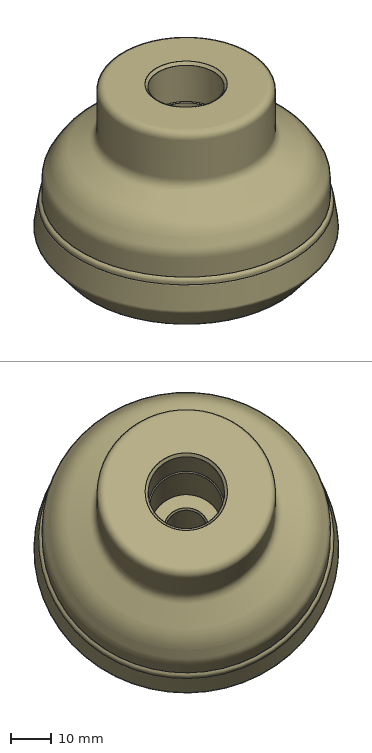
import cadquery as cq
import math

total_height = 50.8
max_radius = 38.0

neck_radius = 22.3
neck_top_round = 2.0
neck_foot_round = 3.05
shoulder_top_height = 35.2
upper_slope = 28.0
shoulder_bend_radius = 32.25
shoulder_bend_round = 10.3
lower_slope = 58.0
skirt_radius = 36.0
skirt_round = 4.3

bore_radius = 9.5
rim_chamfer = 0.75
ledge_height = 39.2
ledge_width = 0.4
ledge_drop = 0.15
bore_floor_height = 22.8
hole_radius = 5.2
hole_chamfer = 0.45

seat_height = 7.6
lip_height = 16.95
lip_slope = 36.0
collar_radius = 36.8
collar_round = 1.0
step_height = 15.2
step_width = 0.15
step_drop = 0.2
step_round = 0.3
flare_angle = 8.3
rim_height = 7.6
rim_round = 1.15
base_angle = 38.6
base_round = 1.0


def rounded_outline(corners):
    """Closed outline on the XZ plane from (radius, height, corner round) triples."""
    points = [cq.Vector(radius, height, 0) for radius, height, _ in corners]
    outline = None
    for index, (_, _, corner_round) in enumerate(corners):
        corner = points[index]
        to_last = (points[index - 1] - corner).normalized()
        to_next = (points[(index + 1) % len(points)] - corner).normalized()
        half_angle = to_last.getAngle(to_next) / 2
        setback = corner_round / math.tan(half_angle)
        start = corner + to_last * setback
        if outline is None:
            outline = cq.Workplane("XZ").moveTo(start.x, start.y)
        else:
            outline = outline.lineTo(start.x, start.y)
        if corner_round > 0:
            crown = corner_round / math.sin(half_angle) - corner_round
            middle = corner + (to_last + to_next).normalized() * crown
            end = corner + to_next * setback
            outline = outline.threePointArc((middle.x, middle.y), (end.x, end.y))
    return outline.close()


def turned(corners):
    """Solid of revolution about the Z axis."""
    return rounded_outline(corners).revolve(360, (0, 0), (0, 1))


def make_bell():
    bend_drop = (shoulder_bend_radius - neck_radius) * math.tan(math.radians(upper_slope))
    bend_height = shoulder_top_height - bend_drop
    skirt_drop = (skirt_radius - shoulder_bend_radius) * math.tan(math.radians(lower_slope))
    ledge_radius = bore_radius - ledge_width
    return turned([
        (neck_radius, total_height, neck_top_round),
        (neck_radius, shoulder_top_height, neck_foot_round),
        (shoulder_bend_radius, bend_height, shoulder_bend_round),
        (skirt_radius, bend_height - skirt_drop, skirt_round),
        (skirt_radius, seat_height, 0),
        (hole_radius, seat_height, 0),
        (hole_radius, bore_floor_height - hole_chamfer, 0),
        (hole_radius + hole_chamfer, bore_floor_height, 0),
        (ledge_radius, bore_floor_height, 0),
        (ledge_radius, ledge_height - ledge_drop, 0),
        (bore_radius, ledge_height, 0),
        (bore_radius, total_height - rim_chamfer, 0),
        (bore_radius + rim_chamfer, total_height, 0),
    ])


def make_foot():
    flare = math.radians(flare_angle)
    taper = math.radians(base_angle)
    collar_height = lip_height - (collar_radius - skirt_radius) * math.tan(math.radians(lip_slope))
    rim_overshoot = rim_round * (math.cos((taper - flare) / 2) / math.cos((taper + flare) / 2) - 1)
    rim_radius = max_radius + rim_overshoot
    band_height = step_height - step_drop
    band_radius = rim_radius - (band_height - rim_height) * math.tan(flare)
    base_radius = rim_radius - rim_height * math.tan(taper)
    return turned([
        (skirt_radius, lip_height, 0),
        (skirt_radius, seat_height, 0),
        (hole_radius, seat_height, 0),
        (hole_radius, 0, 0),
        (base_radius, 0, base_round),
        (rim_radius, rim_height, rim_round),
        (band_radius, band_height, step_round),
        (band_radius - step_width, step_height, 0),
        (collar_radius, collar_height, collar_round),
    ])


bell = make_bell()
foot = make_foot()
result = cq.Compound.makeCompound([bell.val(), foot.val()])